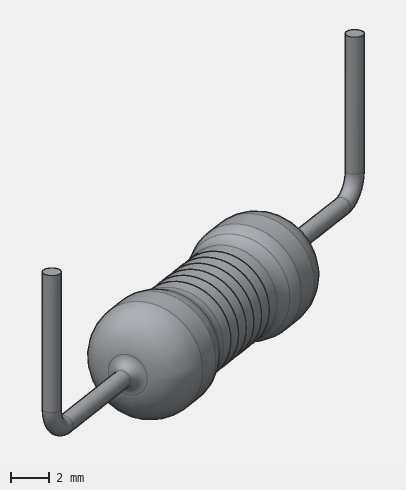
import cadquery as cq
import math

overall_length = 36.0
overall_height = 12.6
cap_radius = 6.5 / 2
body_radius = 5.5 / 2
band_radius = 5.55 / 2
lead_radius = 1.0 / 2

straight_body_end = 3.1
shoulder_inflection = 4.05
cap_inner_end = 4.95
cap_outer_end = 6.45
collar_end = 9.4

dome_radius = 2.25
bend_radius = 1.48

segment_count = 7
segment_length = 2 * straight_body_end / segment_count
core_end = straight_body_end - segment_length

lead_y = overall_length / 2 - lead_radius
lead_top = overall_height - cap_radius


def arc_middle(center, radius, start, end):
    """Point on a circle midway between two of its points."""
    x = (start[0] + end[0]) / 2 - center[0]
    y = (start[1] + end[1]) / 2 - center[1]
    scale = radius / math.hypot(x, y)
    return (center[0] + x * scale, center[1] + y * scale)


def make_end_cap():
    """Revolve the +Y end: outermost band, S-shaped shoulder, cap, dome and lead collar."""
    body_edge = (band_radius, straight_body_end)
    cap_edge = (cap_radius, cap_inner_end)
    dome_start = (cap_radius, cap_outer_end)
    collar_tip = (lead_radius, collar_end)

    share = (shoulder_inflection - straight_body_end) / (cap_inner_end - straight_body_end)
    inflection = (band_radius + share * (cap_radius - band_radius), shoulder_inflection)

    dome_center = (cap_radius - dome_radius, cap_outer_end)
    offset = dome_center[0] - lead_radius
    rise = collar_end - cap_outer_end
    collar_radius = (offset**2 + rise**2 - dome_radius**2) / (2 * (dome_radius + offset))
    collar_center = (lead_radius + collar_radius, collar_end)
    reach = dome_radius / (dome_radius + collar_radius)
    dome_end = (
        dome_center[0] + reach * (collar_center[0] - dome_center[0]),
        dome_center[1] + reach * (collar_center[1] - dome_center[1]),
    )

    return (
        cq.Workplane("XY")
        .moveTo(0, core_end)
        .lineTo(band_radius, core_end)
        .lineTo(*body_edge)
        .tangentArcPoint(inflection, relative=False)
        .tangentArcPoint(cap_edge, relative=False)
        .lineTo(*dome_start)
        .threePointArc(arc_middle(dome_center, dome_radius, dome_start, dome_end), dome_end)
        .threePointArc(arc_middle(collar_center, collar_radius, dome_end, collar_tip), collar_tip)
        .lineTo(0, collar_end)
        .close()
        .revolve(360, (0, 0), (0, 1))
    )


def make_cylinder(radius, length, center_y):
    """Cylinder on the body axis, centred on the given Y station."""
    return (
        cq.Workplane("XZ", origin=(0, center_y + length / 2, 0))
        .circle(radius)
        .extrude(length)
    )


def make_lead():
    """Wire running along +Y from inside the body, then bending up."""
    bend_start = lead_y - bend_radius
    path = (
        cq.Workplane("YZ")
        .moveTo(cap_outer_end, 0)
        .lineTo(bend_start, 0)
        .tangentArcPoint((lead_y, bend_radius), relative=False)
        .lineTo(lead_y, lead_top)
    )
    return (
        cq.Workplane("XZ", origin=(0, cap_outer_end, 0))
        .circle(lead_radius)
        .sweep(path)
    )


core = make_cylinder(body_radius, 2 * core_end, 0)
end = make_end_cap().union(make_lead())
result = core.union(end).union(end.mirror("XZ"))
for side in (-1, 1):
    result = result.union(make_cylinder(band_radius, segment_length, side * segment_length))